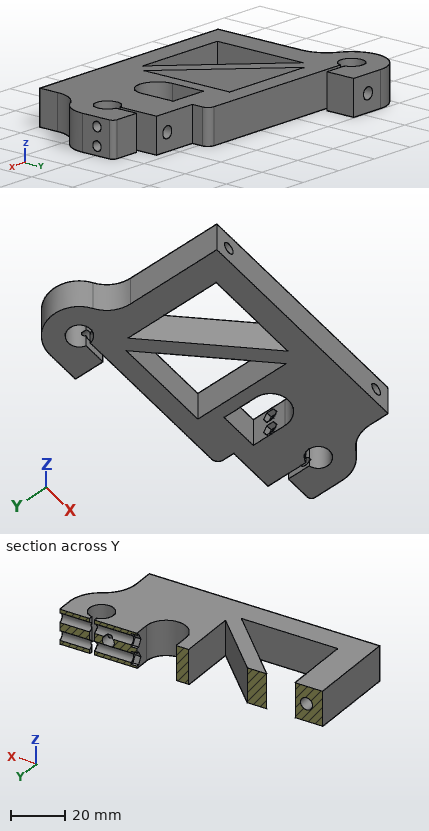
import cadquery as cq
import math

thickness = 15.0
body_width = 100.0
top_edge_y = 64.0
step_x = 79.0
step_y = 56.0
step_corner_radius = 3.0

clamp_radius = 14.0
rod_diameter = 10.4
slot_width = 2.0
left_rod_x = 0.0
left_rod_y = top_edge_y + slot_width / 2
right_rod_x = body_width
right_rod_y = 33.0
left_jaw_end_x = 15.0
right_jaw_end_y = 48.0
right_jaw_corner_radius = 2.0

window_left = 12.0
window_bottom = 10.0
window_size = step_y - window_bottom
window_center = (window_left + window_size / 2, window_bottom + window_size / 2, 0)
rib_width = 6.0
rib_length = window_size * math.sqrt(2) + rib_width
rib_angle = -45.0

access_width = 17.0
access_center_x = 72.0
access_top_y = right_jaw_end_y
access_right_x = access_center_x + access_width / 2

mount_diameter = 5.0
mount_inset = 7.0

screw_diameter = 4.0
screw_y = 40.0
screw_heights = (thickness / 4, thickness * 3 / 4)
nut_corner_diameter = 6.2
nut_depth = 2.5


def clamp_point(center, degrees):
    """Point at the given angle on a circle of the clamp's outer radius."""
    angle = math.radians(degrees)
    return (
        center[0] + clamp_radius * math.cos(angle),
        center[1] + clamp_radius * math.sin(angle),
    )


def blend_center(rod_x, rod_y, side):
    """Centre of the concave blend between a clamp's outer arc and the straight body side.

    The blend has the clamp's own radius and is tangent to both the clamp arc and the
    line x = rod_x. side is -1 for a clamp bulging to -X, +1 for one bulging to +X.
    """
    drop = clamp_radius * math.sqrt(3)
    return rod_x + side * clamp_radius, rod_y - drop


def make_plate():
    """Plate with both clamp jaws and their slots in one outline."""
    left_rod = (left_rod_x, left_rod_y)
    right_rod = (right_rod_x, right_rod_y)
    left_blend = blend_center(left_rod_x, left_rod_y, -1)
    right_blend = blend_center(right_rod_x, right_rod_y, 1)
    slot_half = slot_width / 2
    right_outer_x = right_rod_x + clamp_radius
    return (
        cq.Workplane("XY")
        .moveTo(0, 0)
        .lineTo(body_width, 0)
        .lineTo(*clamp_point(right_blend, 180))
        .threePointArc(clamp_point(right_blend, 150), clamp_point(right_blend, 120))
        .threePointArc(clamp_point(right_rod, -30), clamp_point(right_rod, 0))
        .lineTo(right_outer_x, right_jaw_end_y - right_jaw_corner_radius)
        .radiusArc(
            (right_outer_x - right_jaw_corner_radius, right_jaw_end_y), -right_jaw_corner_radius
        )
        .lineTo(right_rod_x + slot_half, right_jaw_end_y)
        .lineTo(right_rod_x + slot_half, right_rod_y)
        .lineTo(right_rod_x - slot_half, right_rod_y)
        .lineTo(right_rod_x - slot_half, step_y)
        .lineTo(step_x, step_y)
        .lineTo(step_x, top_edge_y - step_corner_radius)
        .radiusArc((step_x - step_corner_radius, top_edge_y), -step_corner_radius)
        .lineTo(left_rod_x, left_rod_y - slot_half)
        .lineTo(left_rod_x, left_rod_y + slot_half)
        .lineTo(left_jaw_end_x, left_rod_y + slot_half)
        .lineTo(left_jaw_end_x, left_rod_y + clamp_radius)
        .lineTo(*clamp_point(left_rod, 90))
        .threePointArc(clamp_point(left_rod, 180), clamp_point(left_rod, 240))
        .threePointArc(clamp_point(left_blend, 30), clamp_point(left_blend, 0))
        .close()
        .extrude(thickness)
    )


def make_rod_holes():
    centers = [(left_rod_x, left_rod_y), (right_rod_x, right_rod_y)]
    return cq.Workplane("XY").pushPoints(centers).circle(rod_diameter / 2).extrude(thickness)


def make_window():
    return (
        cq.Workplane("XY")
        .rect(window_size, window_size)
        .extrude(thickness)
        .translate(window_center)
    )


def make_access_pocket():
    """Pocket with a flat top end and a semicircular bottom end."""
    left_x = access_center_x - access_width / 2
    return (
        cq.Workplane("XY")
        .moveTo(left_x, access_top_y)
        .lineTo(left_x, right_rod_y)
        .threePointArc(
            (access_center_x, right_rod_y - access_width / 2), (access_right_x, right_rod_y)
        )
        .lineTo(access_right_x, access_top_y)
        .close()
        .extrude(thickness)
    )


def make_mount_holes():
    """Two holes that run the full depth of the part along Y."""
    length = left_rod_y + clamp_radius
    xs = (mount_inset, body_width - mount_inset)
    return (
        cq.Workplane("XZ")
        .pushPoints([(x, thickness / 2) for x in xs])
        .circle(mount_diameter / 2)
        .extrude(-length)
    )


def make_rib():
    """Diagonal rib; its ends run into the plate and partly fill the left mounting hole."""
    return (
        cq.Workplane("XY")
        .rect(rib_length, rib_width)
        .extrude(thickness)
        .rotate((0, 0, 0), (0, 0, 1), rib_angle)
        .translate(window_center)
    )


def make_clamp_screws():
    """Screw holes from the access pocket through the right clamp, with hexagonal seats."""
    centers = [(screw_y, z) for z in screw_heights]
    plane = cq.Workplane("YZ", origin=(access_right_x, 0, 0)).pushPoints(centers)
    holes = plane.circle(screw_diameter / 2).extrude(right_rod_x + clamp_radius - access_right_x)
    seats = plane.polygon(6, nut_corner_diameter).extrude(nut_depth)
    return holes.union(seats)


result = (
    make_plate()
    .cut(make_rod_holes())
    .cut(make_window())
    .cut(make_access_pocket())
    .cut(make_mount_holes())
    .union(make_rib())
    .cut(make_clamp_screws())
)